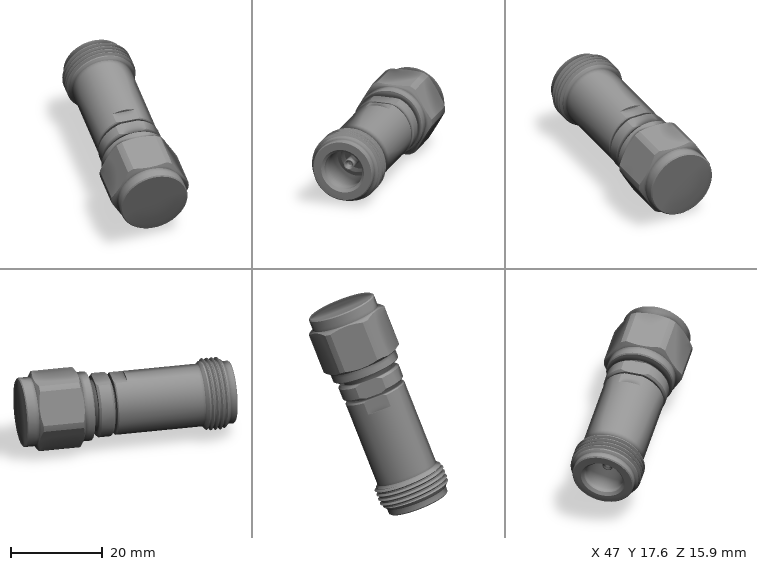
import cadquery as cq
import math


length = 47.0
lead_in_end = 1.45
thread_end = 7.15
flats_start = 23.7
barrel_end = 26.65
ring_start = 27.2
ring_end = 30.75
nut_start = 31.85
nut_hex_start = 34.0
nut_hex_end = 44.35

barrel_diameter = 13.72
front_neck_diameter = 9.8
rear_neck_diameter = 11.25
collar_diameter = 15.2
edge_chamfer = 0.25

flats_width = 12.7
ring_diameter = 14.1
ring_chamfer = 0.45

nut_hex_width = 15.9
nut_hex_diameter = 17.6
nut_hex_chamfer = 0.7

thread_diameter = 15.85
thread_root_diameter = 14.7
thread_pitch = 1.058
thread_turns = 6
thread_start = 1.05
crest_width = 0.07
ridge_overlap = 0.1
trim_margin = 0.2

bore_diameter = 8.65
bore_mouth_diameter = 9.8
bore_depth = 9.4
inner_bore_diameter = 7.1
inner_bore_depth = 11.75
contact_diameter = 2.3
contact_tip = 4.25
contact_hole_diameter = 1.25
contact_mouth_diameter = 1.95
contact_hole_depth = 3.75


def cylinder(start, end, diameter):
    return cq.Workplane("YZ", origin=(start, 0, 0)).circle(diameter / 2).extrude(end - start)


def tapered(start, end, diameter, chamfer, rise):
    """Cylinder with both rims beveled: `chamfer` along X and `rise` in radius."""
    radius = diameter / 2
    profile = [
        (start, 0),
        (start, radius - rise),
        (start + chamfer, radius),
        (end - chamfer, radius),
        (end, radius - rise),
        (end, 0),
    ]
    return cq.Workplane("XY").polyline(profile).close().revolve(360, (0, 0, 0), (1, 0, 0))


def thread_blank(diameter):
    """Cylinder of the threaded zone, with 45 degree tapers down to the barrel."""
    taper = (diameter - barrel_diameter) / 2
    return tapered(lead_in_end, thread_end, diameter, taper, taper)


def thread():
    """Right-handed V ridge on a core, trimmed by the tapered blank."""
    base_radius = thread_root_diameter / 2 - ridge_overlap
    crest_radius = thread_diameter / 2
    half_crest = crest_width / 2
    half_base = half_crest + (crest_radius - base_radius) * math.tan(math.pi / 6)
    helix = cq.Wire.makeHelix(thread_pitch, thread_pitch * thread_turns, base_radius)
    ridge = (
        cq.Workplane("XZ")
        .polyline([
            (base_radius, -half_base),
            (crest_radius, -half_crest),
            (crest_radius, half_crest),
            (base_radius, half_base),
        ])
        .close()
        .sweep(cq.Workplane(helix), isFrenet=True)
        .rotate((0, 0, 0), (0, 1, 0), 90)
        .translate((thread_start, 0, 0))
    )
    trimmed_ridge = ridge.intersect(thread_blank(thread_diameter + trim_margin))
    return thread_blank(thread_root_diameter).union(trimmed_ridge)


def between_flats(start, end):
    """Block that leaves a wrench flat on +Z and on -Z of whatever it is intersected with."""
    return cq.Workplane("XY").box(
        end - start, ring_diameter, flats_width, centered=(False, True, True)
    ).translate((start, 0, 0))


def barrel():
    body = tapered(0, barrel_end, barrel_diameter, edge_chamfer, edge_chamfer)
    round_length = cylinder(0, flats_start, barrel_diameter)
    return body.intersect(round_length.union(between_flats(flats_start, barrel_end)))


def wrench_ring():
    ring = tapered(ring_start, ring_end, ring_diameter, ring_chamfer, ring_chamfer)
    return ring.intersect(between_flats(ring_start, ring_end))


def coupling_nut():
    """Round collar carrying a hexagon, flats facing +Z and -Z, with its corners turned down."""
    collar = tapered(nut_start, length, collar_diameter, edge_chamfer, edge_chamfer)
    bevel_rise = (nut_hex_diameter - collar_diameter) / 2
    corner_diameter = nut_hex_width / math.cos(math.pi / 6)
    prism = (
        cq.Workplane("YZ", origin=(nut_hex_start, 0, 0))
        .polygon(6, corner_diameter)
        .extrude(nut_hex_end - nut_hex_start)
    )
    turned_blank = tapered(nut_hex_start, nut_hex_end, nut_hex_diameter, nut_hex_chamfer, bevel_rise)
    hexagon = prism.intersect(turned_blank)
    return collar.union(hexagon)


def socket():
    """Stepped bore with a countersunk mouth, leaving the centre contact standing."""
    mouth_chamfer = (bore_mouth_diameter - bore_diameter) / 2
    contact_chamfer = (contact_mouth_diameter - contact_hole_diameter) / 2
    hole_bottom = contact_tip + contact_hole_depth
    profile = [
        (0, 0),
        (0, bore_mouth_diameter / 2),
        (mouth_chamfer, bore_diameter / 2),
        (bore_depth, bore_diameter / 2),
        (bore_depth, inner_bore_diameter / 2),
        (inner_bore_depth, inner_bore_diameter / 2),
        (inner_bore_depth, contact_diameter / 2),
        (contact_tip, contact_diameter / 2),
        (contact_tip, contact_mouth_diameter / 2),
        (contact_tip + contact_chamfer, contact_hole_diameter / 2),
        (hole_bottom, contact_hole_diameter / 2),
        (hole_bottom, 0),
    ]
    return cq.Workplane("XY").polyline(profile).close().revolve(360, (0, 0, 0), (1, 0, 0))


front_neck = cylinder(barrel_end, ring_start, front_neck_diameter)
rear_neck = cylinder(ring_end, nut_start, rear_neck_diameter)

result = (
    barrel()
    .union(thread())
    .union(front_neck)
    .union(wrench_ring())
    .union(rear_neck)
    .union(coupling_nut())
    .cut(socket())
)